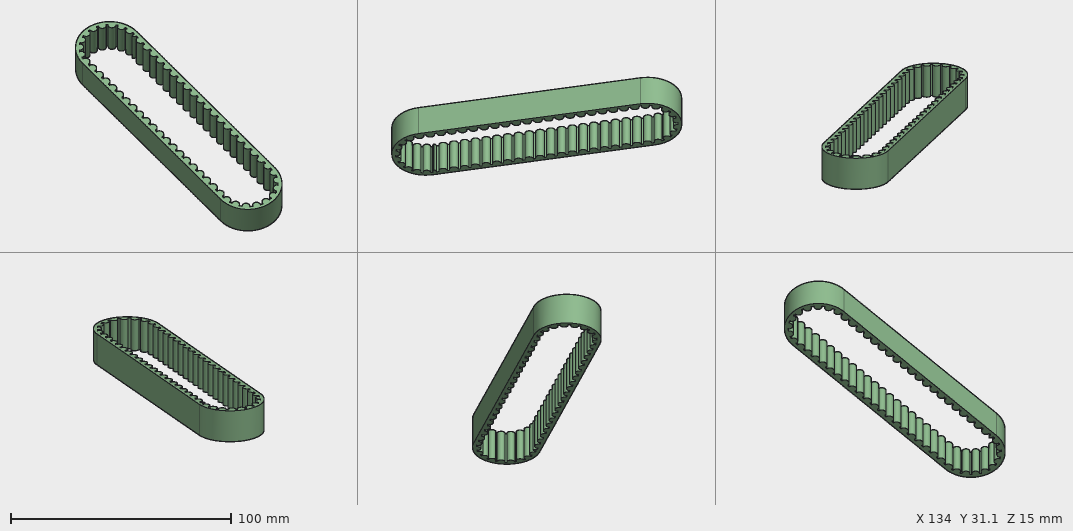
import cadquery as cq
import math

length = 134.0
breadth = 31.1
width = 15.0
outer_radius = breadth / 2
end_center = length / 2 - outer_radius

band_thickness = 1.7
root_radius = outer_radius - band_thickness
tooth_height = 2.0
tooth_base = 4.0
end_tooth_base = 3.6
tooth_sink = 0.4
straight_teeth = 21
straight_span = 100.0
pitch = straight_span / (straight_teeth - 1)

right_step = 20.5
right_teeth_each_side = 4
left_start = 1.0
left_step = 18.7
left_teeth = 9

closing_base = 1.7
closing_height = 1.7
closing_offset = 1.1


def racetrack(radius):
    """Solid loop shape with round ends of the given radius."""
    return cq.Workplane("XY").slot2D(2 * (end_center + radius), 2 * radius).extrude(width)


def place(tooth, x, y, angle):
    """Turn a tooth that points along +Y and move its root to (x, y)."""
    return tooth.rotate((0, 0, 0), (0, 0, 1), angle).translate((x, y, 0))


def place_on_end(tooth, center_x, polar_angle):
    """Put a tooth on a round end, pointing at the end centre."""
    direction = math.radians(polar_angle)
    x = center_x + root_radius * math.cos(direction)
    y = root_radius * math.sin(direction)
    return place(tooth, x, y, polar_angle + 90)


def round_tooth(base):
    """Tooth with one arc from root to root, pointing along +Y."""
    half = base / 2
    return (
        cq.Workplane("XY")
        .moveTo(-half, -tooth_sink)
        .lineTo(-half, 0)
        .threePointArc((0, tooth_height), (half, 0))
        .lineTo(half, -tooth_sink)
        .close()
        .extrude(width)
    )


def pointed_tooth():
    """Narrow tooth whose two flanks curve like the round tooth and meet in a point."""
    half = closing_base / 2
    flank_radius = ((tooth_base / 2) ** 2 + tooth_height**2) / (2 * tooth_height)
    return (
        cq.Workplane("XY")
        .moveTo(-half, -tooth_sink)
        .lineTo(-half, 0)
        .radiusArc((0, closing_height), flank_radius)
        .radiusArc((half, 0), flank_radius)
        .lineTo(half, -tooth_sink)
        .close()
        .extrude(width)
    )


tooth = round_tooth(tooth_base)
end_tooth = round_tooth(end_tooth_base)
teeth = []

for index in range(straight_teeth):
    x = -end_center + index * pitch
    teeth.append(place(tooth, x, -root_radius, 0))
    if index > 0:
        teeth.append(place(tooth, x, root_radius, 180))

for index in range(-right_teeth_each_side, right_teeth_each_side + 1):
    teeth.append(place_on_end(end_tooth, end_center, index * right_step))

for index in range(1, left_teeth + 1):
    teeth.append(place_on_end(end_tooth, -end_center, -90 - left_start - index * left_step))

teeth.append(place(pointed_tooth(), -end_center + closing_offset, root_radius, 180))

result = racetrack(outer_radius).cut(racetrack(root_radius))
for belt_tooth in teeth:
    result = result.union(belt_tooth)